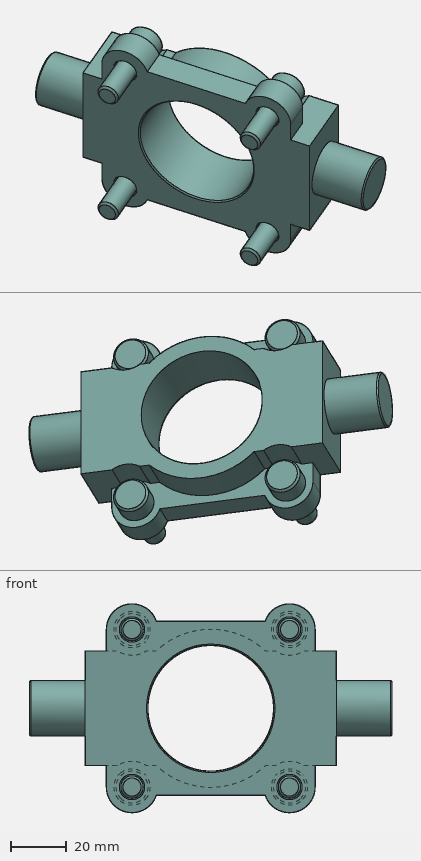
import cadquery as cq

overall_length = 130.0
block_width = 90.0
block_height = 41.1
block_depth = 24.0

bore_diameter = 45.0
bore_chamfer = 0.5
hub_diameter = 56.7

flange_depth = 10.0
flange_height = 62.4
screw_spacing = 56.4
lug_radius = 9.2
flange_width = screw_spacing + 2 * lug_radius
clearance_hole_diameter = 9.1

trunnion_diameter = 20.0
trunnion_chamfer = 0.5

screw_diameter = 8.0
screw_protrusion = 15.0
screw_tip_chamfer = 0.8
screw_head_diameter = 13.0
screw_head_height = 8.0
screw_head_chamfer = 0.8

half_spacing = screw_spacing / 2
screw_places = [(x, z) for x in (-half_spacing, half_spacing) for z in (-half_spacing, half_spacing)]


def plane_at(y):
    """Plane facing -Y at the given Y, with local axes along world X and Z."""
    return cq.Workplane(cq.Plane(origin=(0, y, 0), xDir=(1, 0, 0), normal=(0, -1, 0)))


def cylinder(diameter, y_start, y_end, x=0.0, z=0.0):
    """Cylinder along Y between two Y positions."""
    return plane_at(y_start).center(x, z).circle(diameter / 2).extrude(y_start - y_end)


def make_trunnion(side):
    """Stub shaft on one end of the block; side is -1 or +1 along X."""
    length = (overall_length - block_width) / 2
    plane = cq.Plane(origin=(side * block_width / 2, block_depth / 2, 0), xDir=(0, 1, 0), normal=(side, 0, 0))
    shaft = cq.Workplane(plane).circle(trunnion_diameter / 2).extrude(length)
    return shaft.faces(">X" if side > 0 else "<X").chamfer(trunnion_chamfer)


def make_flange():
    """Front plate: a cross-shaped middle with a round lug at each screw."""
    flange = plane_at(0).rect(screw_spacing, flange_height).extrude(-flange_depth)
    flange = flange.union(plane_at(0).rect(flange_width, screw_spacing).extrude(-flange_depth))
    for x, z in screw_places:
        flange = flange.union(cylinder(2 * lug_radius, 0, flange_depth, x, z))
    return flange


def chamfer_bore(housing):
    """Chamfer the front edge of the bore with a cone tapering toward the back."""
    mouth_radius = bore_diameter / 2 + bore_chamfer
    front = cq.Vector(0, 0, 0)
    toward_back = cq.Vector(0, 1, 0)
    cone = cq.Solid.makeCone(mouth_radius, bore_diameter / 2, bore_chamfer, front, toward_back)
    return housing.cut(cq.Workplane(cone))


def make_housing():
    """Block, hub, flange and trunnions as one body, with the bore and screw holes."""
    housing = plane_at(0).rect(block_width, block_height).extrude(-block_depth)
    housing = housing.union(cylinder(hub_diameter, 0, block_depth))

    for x, z in screw_places:
        housing = housing.cut(cylinder(2 * lug_radius, flange_depth, block_depth, x, z))

    housing = housing.union(make_flange())
    for side in (-1, 1):
        housing = housing.union(make_trunnion(side))

    for x, z in screw_places:
        housing = housing.cut(cylinder(clearance_hole_diameter, 0, flange_depth, x, z))

    housing = housing.cut(cylinder(bore_diameter, 0, block_depth))
    return chamfer_bore(housing)


def make_screw(x, z):
    """Cap screw whose head rests on the back of the flange."""
    shank = cylinder(screw_diameter, -screw_protrusion, flange_depth, x, z)
    shank = shank.faces("<Y").chamfer(screw_tip_chamfer)
    head = cylinder(screw_head_diameter, flange_depth, flange_depth + screw_head_height, x, z)
    head = head.faces(">Y").chamfer(screw_head_chamfer)
    return shank.union(head)


housing = make_housing()
screws = [make_screw(x, z) for x, z in screw_places]

result = cq.Compound.makeCompound([housing.val(), *[screw.val() for screw in screws]])